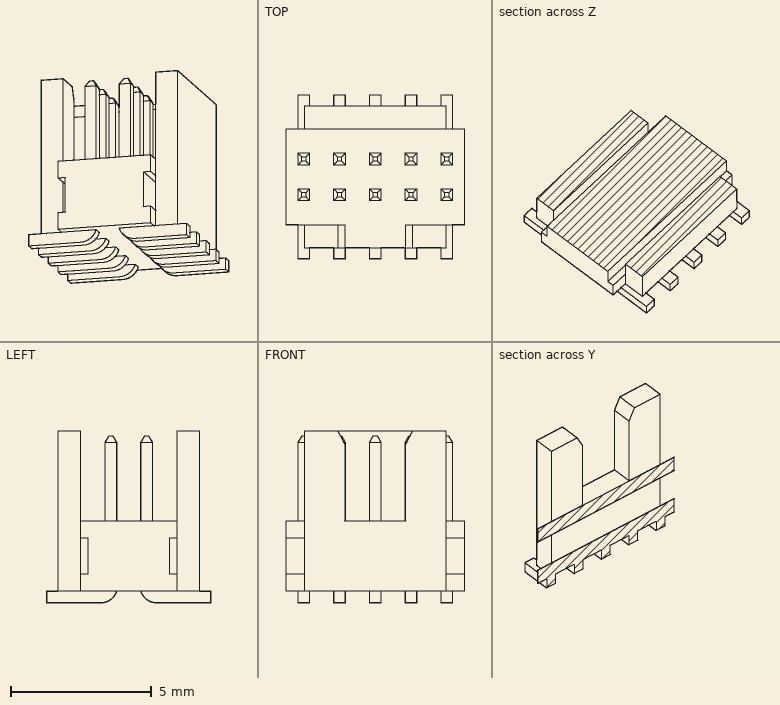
import cadquery as cq
import math


pitch = 1.27
pins_per_row = 5
pin_size = 0.42
pin_tip_size = 0.15
pin_tip_length = 0.23
pin_top = 5.52
foot_span = 5.84
foot_bend_radius = 0.6

body_length = pitch * pins_per_row
body_width = 3.42
body_height = 2.5
wall_length = 5.05
wall_span = 5.05
wall_top = 5.7
wall_thickness = (wall_span - body_width) / 2

channel_depth = 0.255
channel_height = 1.27

slot_width = 2.16
slot_chamfer_width = 0.25
slot_chamfer_height = 0.48


def make_body():
    """Central block with a rectangular channel along each long side."""
    body = cq.Workplane("XY").box(body_length, body_width, body_height, centered=(True, True, False))
    for side in (-1, 1):
        channel = cq.Workplane("XY").box(body_length, channel_depth, channel_height)
        channel_y = side * (body_width - channel_depth) / 2
        body = body.cut(channel.translate((0, channel_y, body_height / 2)))
    return body


def make_wall(side):
    """Upright wall on the -Y (side = -1) or +Y (side = 1) face of the body."""
    wall = cq.Workplane("XY").box(wall_length, wall_thickness, wall_top, centered=(True, True, False))
    return wall.translate((0, side * (wall_span - wall_thickness) / 2, 0))


def make_slot():
    """Keying slot, open at the top with a sloped lead-in on both edges."""
    half_width = slot_width / 2
    half_mouth = half_width + slot_chamfer_width
    chamfer_start = wall_top - slot_chamfer_height
    return (
        cq.Workplane("XZ", origin=(0, -body_width / 2, 0))
        .moveTo(-half_width, body_height)
        .lineTo(half_width, body_height)
        .lineTo(half_width, chamfer_start)
        .lineTo(half_mouth, wall_top)
        .lineTo(-half_mouth, wall_top)
        .lineTo(-half_width, chamfer_start)
        .close()
        .extrude(wall_thickness)
    )


def make_pin():
    """Square pin rising from the housing floor to a pyramidal, blunt tip."""
    shaft_top = pin_top - pin_tip_length
    shaft = cq.Workplane("XY").box(pin_size, pin_size, shaft_top, centered=(True, True, False))
    tip = (
        cq.Workplane("XY", origin=(0, 0, shaft_top))
        .rect(pin_size, pin_size)
        .workplane(offset=pin_tip_length)
        .rect(pin_tip_size, pin_tip_size)
        .loft()
    )
    return shaft.union(tip)


def make_foot():
    """Flat solder foot under the housing, running towards +Y from a rounded inner end."""
    inner_y = (pitch - pin_size) / 2
    outer_y = foot_span / 2
    centre_z = foot_bend_radius - pin_size
    centre_y = inner_y + math.sqrt(foot_bend_radius**2 - centre_z**2)
    start_angle = math.pi + math.asin(centre_z / foot_bend_radius)
    end_angle = 1.5 * math.pi
    mid_angle = (start_angle + end_angle) / 2
    arc_middle = (
        centre_y + foot_bend_radius * math.cos(mid_angle),
        centre_z + foot_bend_radius * math.sin(mid_angle),
    )
    return (
        cq.Workplane("YZ")
        .moveTo(inner_y, 0)
        .threePointArc(arc_middle, (centre_y, -pin_size))
        .lineTo(outer_y, -pin_size)
        .lineTo(outer_y, 0)
        .close()
        .extrude(pin_size / 2, both=True)
    )


def make_contact():
    """One pin of the +Y row together with its solder foot."""
    return make_pin().translate((0, pitch / 2, 0)).union(make_foot())


result = make_body().union(make_wall(1)).union(make_wall(-1).cut(make_slot()))

back_contact = make_contact()
front_contact = back_contact.mirror("XZ")
for column in range(pins_per_row):
    column_x = (column - (pins_per_row - 1) / 2) * pitch
    for contact in (back_contact, front_contact):
        result = result.union(contact.translate((column_x, 0, 0)))